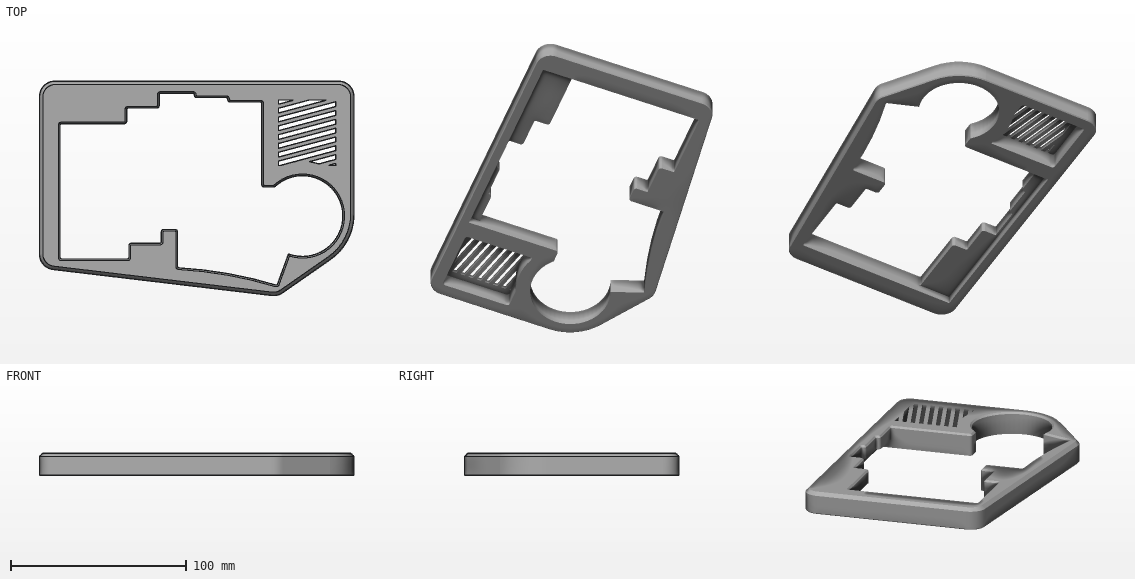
import cadquery as cq

LENGTH = 179.4
BACK_Y = 122.4
HEIGHT = 13.0
FRONT_LEFT_Y = 15.8
TIP = (135.8, -0.4)
RIGHT_CORNER_Y = 30.0
CORNER_RADIUS = 9.0
RIGHT_CORNER_RADIUS = 31.5
TOP_CHAMFER = 2.0
BOTTOM_CHAMFER = 0.5

OPENING_LEFT = 11.8
OPENING_RIGHT = 126.7
BACK_STEPS_X = (49.9, 68.4, 88.3, 107.3)
BACK_LEVELS_Y = (98.0, 107.0, 115.4, 112.8, 110.3)
FRONT_STEPS_X = (51.0, 69.5, 78.8)
FRONT_LEVELS_Y = (21.0, 30.0, 37.9)
CURVE_START = (FRONT_STEPS_X[-1], 16.0)
CURVE_MIDDLE = (106.0, 13.0)
CURVE_END = (135.5, 6.0)
INSIDE_RADIUS = 0.75
OUTSIDE_RADIUS = 1.6
OPENING_CHAMFER = 1.0

NOTCH_Y = 61.9
SPUR_END = (142.0, 24.2)
CIRCLE_CENTER = (150.0, 45.4)
CIRCLE_RADIUS = 23.0

RECESS_BACK = 116.8
RECESS_DEPTH = 5.0

VENT_LEFT = 136.3
VENT_RIGHT = 168.8
VENT_FRONT = 74.3
VENT_BACK = 111.4
VENT_THICKNESS = 2.5
VENT_CLEARANCE_RADIUS = 31.2
POCKET_MARGIN = 3.5
POCKET_RADIUS = 1.6
SLOT_ANGLE = 15.0
SLOT_PITCH = 5.0
SLOT_WIDTH = 2.5
SLOT_COUNT = 10
LOWEST_SLOT_Y = 65.3


def box(x_min, x_max, y_min, y_max, height):
    """Box standing on the underside plane."""
    corner = cq.Workplane("XY", origin=(x_min, y_min, 0))
    return corner.box(x_max - x_min, y_max - y_min, height, centered=False)


def bay_cylinder(radius):
    """Full-height cylinder on the axis of the round bay."""
    return cq.Workplane("XY").center(*CIRCLE_CENTER).circle(radius).extrude(HEIGHT)


def round_corner(body, point, radius):
    """Round the vertical edge that stands on the given XY point."""
    nearest = cq.selectors.NearestToPointSelector((*point, HEIGHT / 2))
    return body.edges("|Z").edges(nearest).fillet(radius)


def make_plate():
    right_corner = (LENGTH, RIGHT_CORNER_Y)
    small_corners = [(LENGTH, BACK_Y), (0, BACK_Y), (0, FRONT_LEFT_Y), TIP]
    plate = cq.Workplane("XY").polyline([right_corner] + small_corners).close().extrude(HEIGHT)
    plate = round_corner(plate, right_corner, RIGHT_CORNER_RADIUS)
    for corner in small_corners:
        plate = round_corner(plate, corner, CORNER_RADIUS)
    plate = plate.faces(">Z").edges().chamfer(TOP_CHAMFER)
    return plate.faces("<Z").edges().chamfer(BOTTOM_CHAMFER)


def make_opening():
    back_x1, back_x2, back_x3, back_x4 = BACK_STEPS_X
    back_y0, back_y1, back_y2, back_y3, back_y4 = BACK_LEVELS_Y
    front_x1, front_x2, front_x3 = FRONT_STEPS_X
    front_y0, front_y1, front_y2 = FRONT_LEVELS_Y

    corners = [
        ((OPENING_RIGHT, NOTCH_Y), OUTSIDE_RADIUS),
        ((OPENING_RIGHT, back_y4), INSIDE_RADIUS),
        ((back_x4, back_y4), OUTSIDE_RADIUS),
        ((back_x4, back_y3), INSIDE_RADIUS),
        ((back_x3, back_y3), OUTSIDE_RADIUS),
        ((back_x3, back_y2), INSIDE_RADIUS),
        ((back_x2, back_y2), INSIDE_RADIUS),
        ((back_x2, back_y1), OUTSIDE_RADIUS),
        ((back_x1, back_y1), INSIDE_RADIUS),
        ((back_x1, back_y0), OUTSIDE_RADIUS),
        ((OPENING_LEFT, back_y0), INSIDE_RADIUS),
        ((OPENING_LEFT, front_y0), INSIDE_RADIUS),
        ((front_x1, front_y0), INSIDE_RADIUS),
        ((front_x1, front_y1), OUTSIDE_RADIUS),
        ((front_x2, front_y1), INSIDE_RADIUS),
        ((front_x2, front_y2), OUTSIDE_RADIUS),
        ((front_x3, front_y2), OUTSIDE_RADIUS),
        (CURVE_START, INSIDE_RADIUS),
        (CURVE_END, INSIDE_RADIUS),
    ]
    straight_part = [point for point, _ in corners if point != CURVE_END]
    circle_x = CIRCLE_CENTER[0]
    opening = (
        cq.Workplane("XY")
        .polyline(straight_part)
        .threePointArc(CURVE_MIDDLE, CURVE_END)
        .lineTo(*SPUR_END)
        .lineTo(*CIRCLE_CENTER)
        .lineTo(circle_x, NOTCH_Y)
        .close()
        .extrude(HEIGHT)
    )
    for point, radius in corners:
        opening = round_corner(opening, point, radius)
    return opening.union(bay_cylinder(CIRCLE_RADIUS))


def chamfer_opening(body):
    """Chamfer the top rim of the opening, the only hole in the top face at this stage."""
    rim = body.faces(">Z").val().innerWires()[0]
    return body.newObject(rim.Edges()).chamfer(OPENING_CHAMFER)


def make_recess():
    return box(OPENING_LEFT, OPENING_RIGHT, NOTCH_Y, RECESS_BACK, RECESS_DEPTH)


def make_vent_pocket():
    right = VENT_RIGHT + POCKET_MARGIN
    back = VENT_BACK + POCKET_MARGIN
    pocket = box(VENT_LEFT, right, VENT_FRONT, back, HEIGHT - VENT_THICKNESS)
    pocket = pocket.edges("|Z").fillet(POCKET_RADIUS)
    return pocket.cut(bay_cylinder(VENT_CLEARANCE_RADIUS))


def make_vent_slots():
    bar_length = 3 * (VENT_RIGHT - VENT_LEFT)
    centers = [(VENT_LEFT, LOWEST_SLOT_Y + index * SLOT_PITCH) for index in range(SLOT_COUNT)]
    bars = cq.Workplane("XY").pushPoints(centers).slot2D(bar_length, SLOT_WIDTH, SLOT_ANGLE).extrude(HEIGHT)
    grille = box(VENT_LEFT, VENT_RIGHT, VENT_FRONT, VENT_BACK, HEIGHT)
    return bars.intersect(grille).cut(bay_cylinder(VENT_CLEARANCE_RADIUS))


body = chamfer_opening(make_plate().cut(make_opening()))
body = body.cut(make_recess())
body = body.cut(make_vent_pocket())
result = body.cut(make_vent_slots())